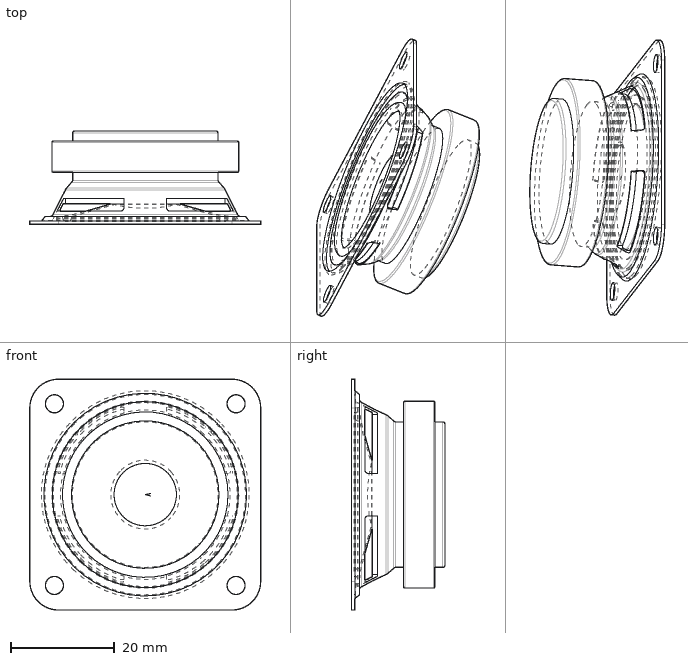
import cadquery as cq

plate_side = 44.45
plate_thickness = 0.65
plate_corner_radius = 5.55
mount_hole_diameter = 3.42
mount_hole_offset = 17.45

recess_radius = 39.0 / 2
recess_depth = 0.8
rim_base_radius = 20.0
rim_top_radius = 19.3
rim_back = 1.55

basket_front_radius = 17.95
basket_back_radius = 15.4
basket_back = 6.65
basket_foot_width = 0.35
basket_foot_height = 0.35
basket_wall = 0.45
cavity_back = 3.95

shoulder_front_radius = 15.15
shoulder_front = 7.02
shoulder_crest_radius = 15.3
shoulder_crest_y = 6.85
shoulder_back_radius = 14.25
shoulder_back = 8.05
neck_back = 8.5
neck_mid_radius = 14.1
neck_mid_y = 8.25

window_front = 2.6
window_back = 5.02
rib_half_width = 4.1
window_corner_radius = 0.65
core_radius = 15.9

overall_depth = 18.0
housing_radius = 28.0 / 2
housing_fillet = 0.45
magnet_radius = 36.0 / 2
magnet_front = 10.0
magnet_back = 16.05
magnet_fillet = 0.3

diaphragm_thickness = 0.3
surround_outer_radius = 15.9
surround_outer_y = 1.3
surround_inner_radius = 14.2
surround_inner_y = 1.5
surround_crest_y = 0.55
cap_radius = 6.0
cap_edge_y = 3.82
cap_apex_y = 3.1


def revolve_about_y(profile):
    """Close a (radius, Y) profile and revolve it about the Y axis."""
    return profile.close().revolve(360, (0, 0, 0), (0, 1, 0))


def basket_radius(y):
    """Outer radius of the basket cone at a given Y."""
    taper = (basket_front_radius - basket_back_radius) / (basket_back - rim_back)
    return basket_front_radius - taper * (y - rim_back)


def y_cylinder(radius, front, back):
    return cq.Workplane("XZ", origin=(0, front, 0)).circle(radius).extrude(front - back)


def make_plate():
    holes = [(x, z) for x in (-mount_hole_offset, mount_hole_offset)
             for z in (-mount_hole_offset, mount_hole_offset)]
    return (
        cq.Workplane("XZ")
        .rect(plate_side, plate_side)
        .extrude(-plate_thickness)
        .edges("|Y")
        .fillet(plate_corner_radius)
        .cut(y_cylinder(recess_radius, 0, plate_thickness))
        .cut(cq.Workplane("XZ").pushPoints(holes).circle(mount_hole_diameter / 2).extrude(-plate_thickness))
    )


def make_basket():
    """Hollow rim and cone, closed behind the cavity."""
    foot_back = rim_back + basket_foot_height
    foot_mid = (basket_front_radius + basket_foot_width / 5, rim_back + basket_foot_height / 4)
    rim = revolve_about_y(
        cq.Workplane("XY")
        .moveTo(0, plate_thickness)
        .lineTo(rim_base_radius, plate_thickness)
        .lineTo(rim_top_radius, rim_back)
        .lineTo(basket_front_radius + basket_foot_width, rim_back)
        .threePointArc(foot_mid, (basket_radius(foot_back), foot_back))
        .lineTo(basket_back_radius, basket_back)
        .threePointArc((shoulder_crest_radius, shoulder_crest_y), (shoulder_front_radius, shoulder_front))
        .lineTo(shoulder_back_radius, shoulder_back)
        .threePointArc((neck_mid_radius, neck_mid_y), (housing_radius, neck_back))
        .lineTo(0, neck_back)
    )
    cavity = revolve_about_y(
        cq.Workplane("XY")
        .moveTo(0, recess_depth)
        .lineTo(basket_radius(recess_depth) - basket_wall, recess_depth)
        .lineTo(basket_radius(cavity_back) - basket_wall, cavity_back)
        .lineTo(0, cavity_back)
    )
    recess = y_cylinder(recess_radius, plate_thickness, recess_depth)
    return rim.cut(recess).cut(cavity)


def make_windows():
    """Corner blocks between the ribs, kept outside the core behind the cavity."""
    reach = basket_front_radius
    size = reach - rib_half_width
    middle = (reach + rib_half_width) / 2
    depth = window_back - window_front
    corner = (
        cq.Workplane("XY")
        .box(size, depth, size)
        .translate((middle, (window_front + window_back) / 2, middle))
        .edges("<Y and (<X or <Z)")
        .fillet(window_corner_radius)
    )
    windows = corner
    for angle in (90, 180, 270):
        windows = windows.union(corner.rotate((0, 0, 0), (0, 1, 0), angle))
    return windows.cut(y_cylinder(core_radius, cavity_back, window_back))


def make_motor():
    housing = y_cylinder(housing_radius, neck_back, overall_depth).edges(">Y").fillet(housing_fillet)
    magnet = y_cylinder(magnet_radius, magnet_front, magnet_back).edges("%CIRCLE").fillet(magnet_fillet)
    return housing.union(magnet)


def make_diaphragm():
    """Sloped flange, half-round surround, cone and domed cap; the cap is backed by the core."""
    crest_radius = (surround_outer_radius + surround_inner_radius) / 2
    cap_mid_radius = cap_radius / 2
    cap_mid_y = cap_apex_y + (cap_edge_y - cap_apex_y) / 4
    return revolve_about_y(
        cq.Workplane("XY")
        .moveTo(0, cap_apex_y)
        .threePointArc((cap_mid_radius, cap_mid_y), (cap_radius, cap_edge_y))
        .lineTo(surround_inner_radius, surround_inner_y)
        .threePointArc((crest_radius, surround_crest_y), (surround_outer_radius, surround_outer_y))
        .lineTo(basket_front_radius, recess_depth)
        .lineTo(basket_front_radius, recess_depth + diaphragm_thickness)
        .lineTo(surround_outer_radius, surround_outer_y + diaphragm_thickness)
        .lineTo(surround_inner_radius, surround_inner_y + diaphragm_thickness)
        .lineTo(cap_radius, cap_edge_y + diaphragm_thickness)
        .lineTo(0, cap_edge_y + diaphragm_thickness)
    )


basket = make_basket().cut(make_windows())
result = make_plate().union(basket).union(make_motor()).union(make_diaphragm())